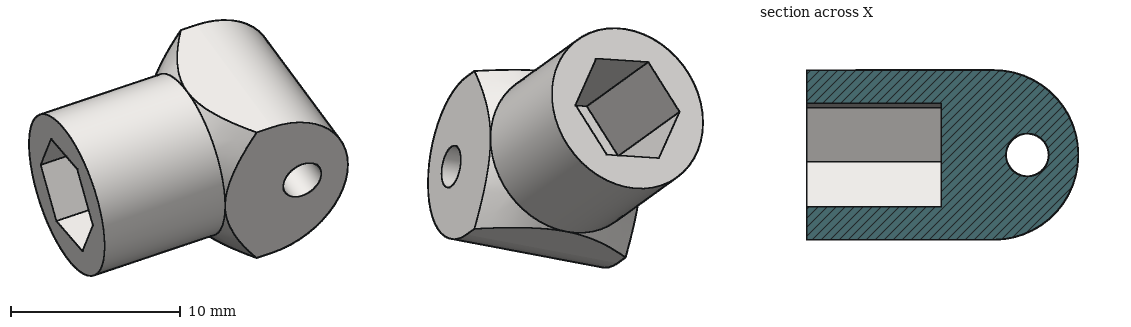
import cadquery as cq
import math

length = 16.0
width = 10.0
shank_length = 7.92
cross_hole_diameter = 2.5
cross_hole_y = 13.0
hex_across_flats = 6.0
hex_turn = 6.7

radius = width / 2
corner_radius = radius * math.sqrt(2)
cone_end_y = shank_length + corner_radius - radius
round_center_y = length - radius
hex_depth = shank_length
hex_corner_diameter = hex_across_flats / math.cos(math.pi / 6)


def make_rounded_bar():
    """Square bar along Y with a half-round far end."""
    return (
        cq.Workplane("YZ")
        .moveTo(0, -radius)
        .lineTo(round_center_y, -radius)
        .threePointArc((length, 0), (round_center_y, radius))
        .lineTo(0, radius)
        .close()
        .extrude(radius, both=True)
    )


def make_turned_envelope():
    """Round shank, cone and head envelope revolved about Y."""
    return (
        cq.Workplane("XY")
        .polyline([
            (0, 0),
            (radius, 0),
            (radius, shank_length),
            (corner_radius, cone_end_y),
            (corner_radius, length),
            (0, length),
        ])
        .close()
        .revolve(360, (0, 0), (0, 1))
    )


def make_cross_hole():
    """Pin hole through the head along X."""
    return (
        cq.Workplane("YZ")
        .center(cross_hole_y, 0)
        .circle(cross_hole_diameter / 2)
        .extrude(width, both=True)
    )


def make_hex_socket():
    """Blind hexagonal socket in the shank end, as deep as the shank."""
    return (
        cq.Workplane("XZ")
        .polygon(6, hex_corner_diameter)
        .extrude(-hex_depth)
        .rotate((0, 0, 0), (0, 1, 0), -hex_turn)
    )


body = make_rounded_bar().intersect(make_turned_envelope())
result = body.cut(make_cross_hole()).cut(make_hex_socket())